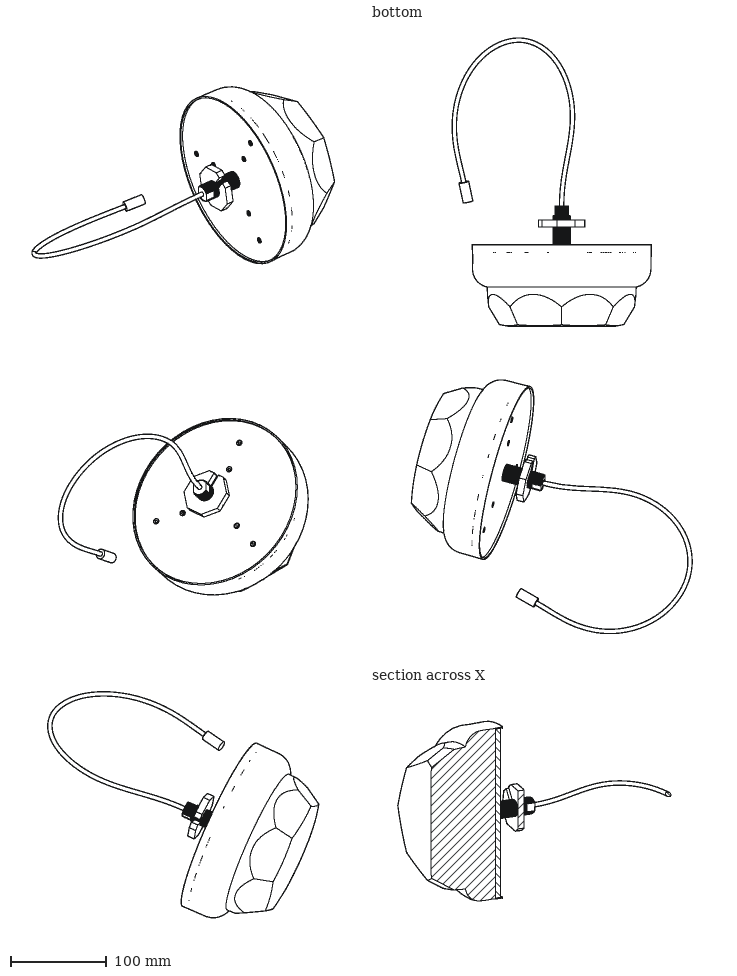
import cadquery as cq
import math

AXIS_START = (0, 0, 0)
AXIS_END = (0, 1, 0)

rim_diameter = 187.3
skirt_top_radius = 93.2
skirt_height = 25.5
shoulder_arc_radius = 19.2
neck_bottom_radius = 78.0
neck_top_radius = 77.5
neck_top_height = 52.5
crown_top_radius = 74.0
top_chamfer_height = 83.5
top_face_radius = 55.3
housing_height = 85.5

flat_count = 8
low_corner_radius = 76.5
low_corner_height = 64.5
high_corner_radius = 65.0
flat_slope = (low_corner_radius - high_corner_radius) / (top_chamfer_height - low_corner_height)

rim_width = 1.65
plate_radius = rim_diameter / 2 - rim_width
plate_depth = 2.5
plate_thickness = 6.0

counterbore_radius = 2.85
counterbore_depth = 1.0
hole_radius = 1.2
hole_depth = 4.5
hole_circle_radii = (38.5, 68.8)
hole_row_count = 3
first_hole_direction = 67.5

stud_end = -40.0
stud_length = plate_depth - stud_end
thread_radius = 9.0
thread_root_radius = 8.0
thread_turns = 43
tip_chamfer_length = 1.8
stud_flat_width = 13.8
stud_flat_length = 10.0

nut_side_count = 8
nut_corner_radius = 24.7
nut_near_face = -18.0
nut_thickness = 7.5
nut_slot_width = 6.0

cable_plane_angle = 33.75
cable_radius = 2.5
connector_diameter = 10.5
connector_length = 21.0
connector_tilt = math.radians(14.5)
connector_axis = (math.sin(connector_tilt), math.cos(connector_tilt))
nut_slot_direction = 90 - cable_plane_angle

cable_points = [
    (0, stud_end),
    (7.0, -89.3),
    (13.5, -137.7),
    (-14.5, -198.5),
    (-46.0, -212.5),
    (-96.8, -198.5),
    (-131.5, -147.5),
    (-133.0, -104.0),
    (-122.7, -65.0),
]


def cross_section(height):
    """Workplane across the axis at Y = height. Its x is X, its y is Z, and extrusion goes to -Y."""
    return cq.Workplane("XZ", origin=(0, height, 0))


def turned(profile):
    """Closes a profile that starts and ends on the Y axis and revolves it about that axis."""
    return profile.close().revolve(360, AXIS_START, AXIS_END)


def swung(body, angle):
    """Turns a body about the axis so that +X swings toward +Z by an angle in degrees."""
    return body.rotate(AXIS_START, AXIS_END, -angle)


def corner_radius_at(height):
    """Distance from the axis to the corners between the crown flats."""
    return low_corner_radius - flat_slope * (height - low_corner_height)


def make_housing():
    arc_center_radius = skirt_top_radius - shoulder_arc_radius
    shoulder_angle = math.acos((neck_bottom_radius - arc_center_radius) / shoulder_arc_radius)

    def shoulder_point(angle):
        return (
            arc_center_radius + shoulder_arc_radius * math.cos(angle),
            skirt_height + shoulder_arc_radius * math.sin(angle),
        )

    neck_bottom = shoulder_point(shoulder_angle)
    blank = turned(
        cq.Workplane("XY")
        .lineTo(rim_diameter / 2, 0)
        .lineTo(skirt_top_radius, skirt_height)
        .threePointArc(shoulder_point(shoulder_angle / 2), neck_bottom)
        .lineTo(neck_top_radius, neck_top_height)
        .lineTo(crown_top_radius, top_chamfer_height)
        .lineTo(high_corner_radius, top_chamfer_height)
        .lineTo(top_face_radius, housing_height)
        .lineTo(0, housing_height)
    )

    pyramid = (
        cross_section(0)
        .polygon(flat_count, 2 * corner_radius_at(0))
        .workplane(offset=-housing_height)
        .polygon(flat_count, 2 * corner_radius_at(housing_height))
        .loft(ruled=True)
    )
    skirt_zone = cross_section(0).circle(rim_diameter).extrude(-neck_bottom[1])
    plate_recess = cross_section(0).circle(plate_radius).extrude(-plate_depth - plate_thickness)
    return blank.intersect(pyramid.union(skirt_zone)).cut(plate_recess)


def make_stud():
    pitch = stud_length / thread_turns
    profile = cq.Workplane("XY").moveTo(0, plate_depth).lineTo(thread_root_radius, plate_depth)
    for turn in range(thread_turns):
        turn_start = plate_depth - turn * pitch
        profile = profile.lineTo(thread_radius, turn_start - pitch / 2)
        profile = profile.lineTo(thread_root_radius, turn_start - pitch)
    threaded_rod = turned(profile.lineTo(0, stud_end))

    tip_envelope = (
        cross_section(plate_depth)
        .circle(thread_radius)
        .extrude(stud_length)
        .faces("<Y")
        .chamfer(tip_chamfer_length, thread_radius - thread_root_radius)
    )
    flats = (
        cross_section(stud_end + stud_flat_length)
        .rect(4 * thread_radius, 4 * thread_radius)
        .rect(stud_flat_width, 4 * thread_radius)
        .extrude(stud_flat_length)
    )
    return threaded_rod.intersect(tip_envelope).cut(flats)


def make_plate_hole(circle_radius, direction):
    hole = (
        cross_section(plate_depth)
        .center(circle_radius, 0)
        .circle(counterbore_radius)
        .extrude(-counterbore_depth)
        .circle(hole_radius)
        .extrude(-hole_depth)
    )
    return swung(hole, direction)


def make_base_plate():
    plate = cross_section(plate_depth).circle(plate_radius).extrude(-plate_thickness)
    for circle_radius in hole_circle_radii:
        for row in range(hole_row_count):
            direction = first_hole_direction + row * 360 / hole_row_count
            plate = plate.cut(make_plate_hole(circle_radius, direction))
    return plate.union(make_stud())


def make_nut():
    ring = (
        cross_section(nut_near_face)
        .polygon(nut_side_count, 2 * nut_corner_radius)
        .circle(thread_radius)
        .extrude(nut_thickness)
    )
    slot = (
        cross_section(nut_near_face)
        .center(nut_corner_radius / 2, 0)
        .rect(nut_corner_radius, nut_slot_width)
        .extrude(nut_thickness)
    )
    return swung(swung(ring, 180 / nut_side_count).cut(slot), nut_slot_direction)


def make_cable():
    path = cq.Workplane("XY").spline(cable_points, tangents=[(0, -1), connector_axis])
    cable = cross_section(stud_end).circle(cable_radius).sweep(path)
    return swung(cable, cable_plane_angle)


def make_connector():
    end_plane = cq.Plane(origin=(*cable_points[-1], 0), xDir=(0, 0, 1), normal=(*connector_axis, 0))
    connector = cq.Workplane(end_plane).circle(connector_diameter / 2).extrude(connector_length)
    return swung(connector, cable_plane_angle)


housing = make_housing()
base_plate = make_base_plate()
nut = make_nut()
cable = make_cable()
connector = make_connector()

bodies = [housing, base_plate, nut, cable, connector]
result = cq.Compound.makeCompound([body.solids().val() for body in bodies])